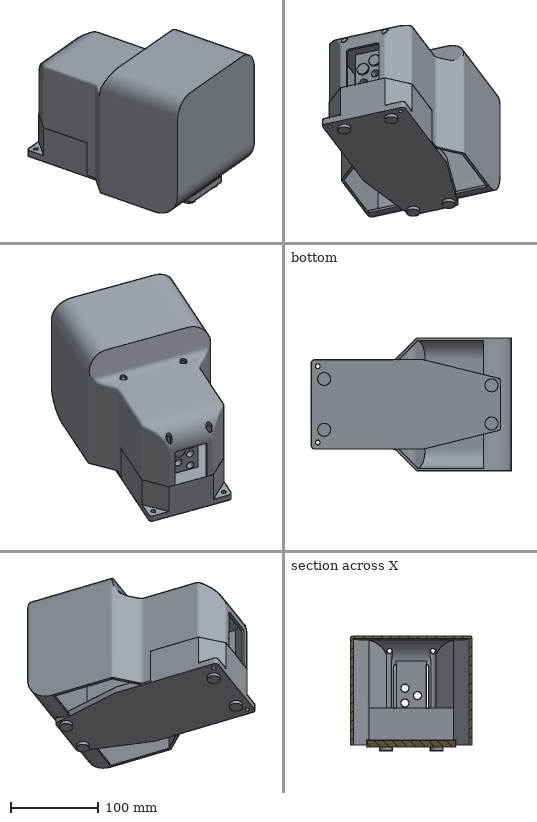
import cadquery as cq
import math


LENGTH = 230.0
WIDE_WIDTH = 153.0
NARROW_WIDTH = 102.8
TOP_Z = 159.0
FRONT_TOP_Z = 126.5
COVER_BOTTOM_Z = 2.5
WALL = 3.0

FRONT_CHAMFER = 23.7
SHOULDER_END_X = 121.5
SHOULDER_START_X = SHOULDER_END_X - (WIDE_WIDTH - NARROW_WIDTH) / 2
NECK_RADIUS = 8.0

FRONT_RADIUS = 30.5
STEP_START_X = 115.7
STEP_END_X = 128.8
STEP_RADIUS = 8.0
REAR_RADIUS = 32.2
TOP_RADIUS = 25.0
EDGE_RADIUS = 3.7

WINDOW_TOP_Z = 95.2
WINDOW_WIDTH = 40.0
WINDOW_CORNER_RADIUS = 3.0
SCREW_HOLES = [
    (7.0, 5.8, 50.0),
    (8.0, 110.5, 74.8),
]

PLATE_LENGTH = 217.8
PLATE_REAR_WIDTH = 58.9
PLATE_THICKNESS = 8.0
PLATE_FRONT_RADIUS = 4.1
PLATE_REAR_RADIUS = 3.5
BLOCK_LENGTH = 84.9
BLOCK_TOP_Z = 45.0
MOUNT_HOLE_DIAMETER = 5.0
MOUNT_HOLE_X = 7.5
MOUNT_HOLE_SPACING = 87.6
FOOT_DIAMETER = 15.0
FOOT_HEIGHT = 4.1
FEET = [
    (15.0, 58.5),
    (207.2, 44.0),
]

PANEL_X = 19.5
PANEL_THICKNESS = 10.0
PANEL_WIDTH = 34.5
PANEL_TOP_Z = 99.0
CONNECTOR_COLUMN_SPACING = 14.5
CONNECTOR_PITCH_Z = 8.5
LOWEST_CONNECTOR_Z = 50.8
PANEL_HOLE_DIAMETER = 9.0
PANEL_HOLE_COUNT = 3
DISC_DIAMETER = 14.0
DISC_HEIGHT = 2.0
DISC_COUNT = 2

TOLERANCE = 0.2


def mirrored_outline(half):
    """Closed outline from the points of its +Y half."""
    return half + [(x, -y) for x, y in reversed(half)]


def full_width_box(x_start, x_end, z_bottom, z_top):
    return cq.Workplane("XY", origin=(x_start, 0, z_bottom)).box(
        x_end - x_start, WIDE_WIDTH, z_top - z_bottom, centered=(False, True, False)
    )


def cylinder_pair(diameter, x, spacing, z_bottom, z_top):
    """Two upright cylinders placed symmetrically about the middle plane."""
    return (
        cq.Workplane("XY", origin=(x, 0, z_bottom))
        .pushPoints([(0, spacing / 2), (0, -spacing / 2)])
        .circle(diameter / 2)
        .extrude(z_top - z_bottom)
    )


def cover_plan(inset):
    """Upright prism of the cover outline with its neck rounded, moved inwards by `inset`."""
    shift = inset * math.tan(math.radians(22.5))
    narrow = NARROW_WIDTH / 2 - inset
    wide = WIDE_WIDTH / 2 - inset
    neck = SHOULDER_START_X + shift
    half = [
        (inset, NARROW_WIDTH / 2 - FRONT_CHAMFER - shift),
        (FRONT_CHAMFER + shift, narrow),
        (neck, narrow),
        (SHOULDER_END_X + shift, wide),
        (LENGTH - inset, wide),
    ]
    prism = (
        cq.Workplane("XY", origin=(0, 0, COVER_BOTTOM_Z))
        .polyline(mirrored_outline(half))
        .close()
        .extrude(TOP_Z - COVER_BOTTOM_Z)
    )
    for y in (narrow, -narrow):
        corner = cq.selectors.NearestToPointSelector((neck, y, TOP_Z / 2))
        prism = prism.edges("|Z").edges(corner).fillet(NECK_RADIUS + inset)
    return prism


def cover_profile(inset):
    """Side profile of the cover across the full width, moved inwards by `inset`."""
    slope = math.atan2(TOP_Z - FRONT_TOP_Z, STEP_END_X - STEP_START_X)
    front = inset
    rear = LENGTH - inset
    bottom = COVER_BOTTOM_Z + inset
    front_top = FRONT_TOP_Z - inset
    top = TOP_Z - inset
    step_start = STEP_START_X + inset * math.tan(slope / 2)
    step_end = step_start + (top - front_top) / math.tan(slope)
    points = [
        (front, bottom),
        (front, front_top),
        (step_start, front_top),
        (step_end, top),
        (rear, top),
        (rear, bottom),
    ]
    prism = cq.Workplane("XZ", origin=(0, WIDE_WIDTH / 2, 0)).polyline(points).close().extrude(WIDE_WIDTH)
    corners = [
        (front, front_top, FRONT_RADIUS - inset),
        (step_start, front_top, STEP_RADIUS + inset),
        (rear, bottom, REAR_RADIUS - inset),
    ]
    for x, z, radius in corners:
        corner = cq.selectors.NearestToPointSelector((x, 0, z))
        prism = prism.edges("|Y").edges(corner).fillet(radius)
    return prism


def cover_section(inset):
    """Cross-section of the wide part, rounded along both top edges, over the full length."""
    return (
        cq.Workplane("XY")
        .box(LENGTH, WIDE_WIDTH - 2 * inset, TOP_Z - inset, centered=(False, True, False))
        .edges("|X and >Z")
        .fillet(TOP_RADIUS - inset)
    )


def cover_form(inset):
    return cover_plan(inset).intersect(cover_profile(inset)).intersect(cover_section(inset))


def round_edges(form):
    """Rounds the upright corners and the rim of the low front part, up to the shoulder."""
    uprights = [
        edge
        for edge in form.edges("|Z").vals()
        if edge.Center().x < FRONT_CHAMFER + TOLERANCE
        or abs(edge.Center().x - SHOULDER_END_X) < TOLERANCE
    ]
    rim = [
        edge
        for edge in form.edges("not |Z").vals()
        if edge.Center().x < SHOULDER_END_X
        and FRONT_TOP_Z - FRONT_RADIUS + TOLERANCE < edge.Center().z < TOP_Z - TOP_RADIUS
        and abs(edge.Center().y) > TOLERANCE
    ]
    return form.newObject(uprights + rim).fillet(EDGE_RADIUS)


def make_window():
    """Opening in the front wall, with rounded top corners and its sill on the base block."""
    return (
        cq.Workplane("YZ")
        .rect(WINDOW_WIDTH, 2 * WINDOW_TOP_Z)
        .extrude(2 * WALL)
        .edges("|X and >Z")
        .fillet(WINDOW_CORNER_RADIUS)
        .intersect(full_width_box(0, LENGTH, BLOCK_TOP_Z, TOP_Z))
    )


def make_cover():
    cover = round_edges(cover_form(0)).cut(cover_form(WALL))
    floor = full_width_box(0, LENGTH - REAR_RADIUS, COVER_BOTTOM_Z, COVER_BOTTOM_Z + WALL)
    cover = cover.cut(cover_plan(WALL).intersect(floor))
    cover = cover.cut(full_width_box(0, BLOCK_LENGTH, COVER_BOTTOM_Z, BLOCK_TOP_Z))
    cover = cover.cut(make_plate().intersect(full_width_box(STEP_END_X, LENGTH, 0, PLATE_THICKNESS)))
    cover = cover.cut(make_window())
    for diameter, x, spacing in SCREW_HOLES:
        cover = cover.cut(cylinder_pair(diameter, x, spacing, BLOCK_TOP_Z, TOP_Z))
    return cover


def make_plate():
    """Base plate, as wide as the low front part and tapering towards the back."""
    half = [(0, NARROW_WIDTH / 2), (STEP_END_X, NARROW_WIDTH / 2), (PLATE_LENGTH, PLATE_REAR_WIDTH / 2)]
    plate = cq.Workplane("XY").polyline(mirrored_outline(half)).close().extrude(PLATE_THICKNESS)
    plate = plate.edges("|Z and <X").fillet(PLATE_FRONT_RADIUS)
    return plate.edges("|Z and >X").fillet(PLATE_REAR_RADIUS)


def make_block():
    """Chamfered block at the front of the plate, flush with the outside of the cover."""
    side = NARROW_WIDTH / 2
    half = [(0, side - FRONT_CHAMFER), (FRONT_CHAMFER, side), (BLOCK_LENGTH, side)]
    return cq.Workplane("XY").polyline(mirrored_outline(half)).close().extrude(BLOCK_TOP_Z)


def make_panel():
    """Upright connector panel on top of the block."""
    panel = cq.Workplane("XY", origin=(PANEL_X, 0, BLOCK_TOP_Z)).box(
        PANEL_THICKNESS, PANEL_WIDTH, PANEL_TOP_Z - BLOCK_TOP_Z, centered=(False, True, False)
    )
    for index in range(PANEL_HOLE_COUNT + DISC_COUNT):
        y = (CONNECTOR_COLUMN_SPACING / 2) * (1 if index % 2 else -1)
        z = LOWEST_CONNECTOR_Z + index * CONNECTOR_PITCH_Z
        centre = cq.Workplane("YZ", origin=(PANEL_X, y, z))
        if index < PANEL_HOLE_COUNT:
            panel = panel.cut(centre.circle(PANEL_HOLE_DIAMETER / 2).extrude(PANEL_THICKNESS))
        else:
            panel = panel.union(centre.circle(DISC_DIAMETER / 2).extrude(-DISC_HEIGHT))
    return panel


def make_base(cover):
    base = make_plate().union(make_block()).union(make_panel())
    base = base.cut(
        cylinder_pair(MOUNT_HOLE_DIAMETER, MOUNT_HOLE_X, MOUNT_HOLE_SPACING, 0, PLATE_THICKNESS)
    )
    for x, spacing in FEET:
        base = base.union(cylinder_pair(FOOT_DIAMETER, x, spacing, -FOOT_HEIGHT, 0))
    return base.cut(cover)


cover = make_cover()
base = make_base(cover)
result = cq.Compound.makeCompound([cover.solids().val(), base.solids().val()])